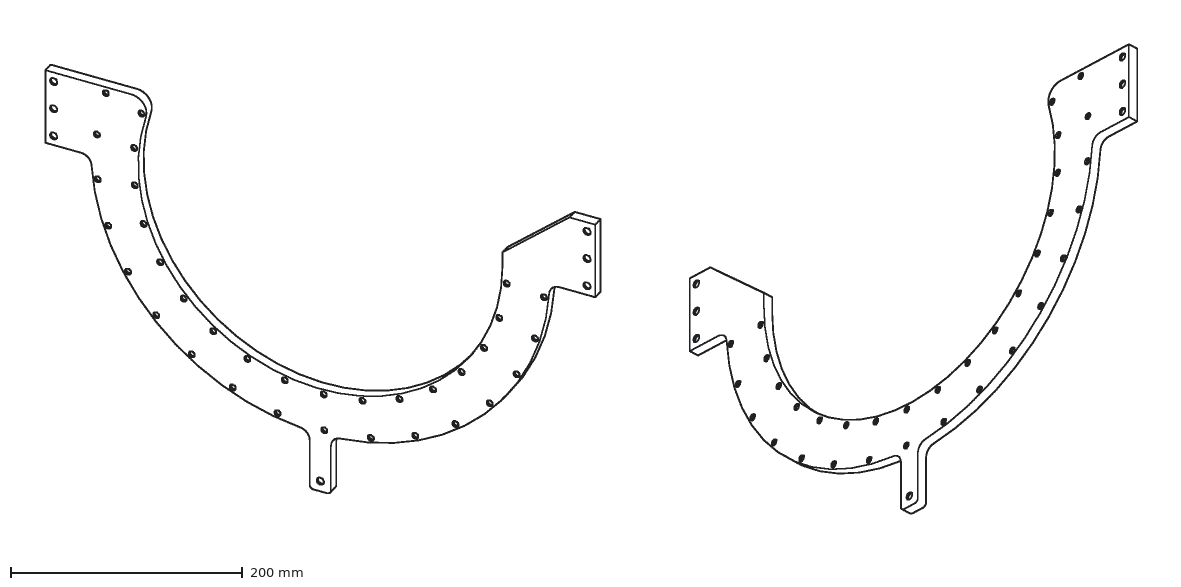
import cadquery as cq
import math

total_width = 535.0
total_height = 352.0
thickness = 10.0

inner_radius = 177.0
outer_radius = 223.0

left_edge = -total_width / 2
right_edge = total_width / 2
top_edge = 70.0
ear_height = 74.5
ear_bottom = top_edge - ear_height
ear_fillet = 10.0
left_ear_corner_radius = 15.0
slope_top_x = 242.5
slope_drop = 55.0

tab_bottom = top_edge - total_height
tab_width = 21.0
tab_root_fillet = 10.0
tab_corner_radius = 4.0

mounting_hole_diameter = 6.5
mounting_sink_diameter = 7.0
mounting_hole_x = 259.5
mounting_hole_pitch = 28.0
tab_hole_z = tab_bottom + tab_width / 2

row_radii = (182.0, 218.5)
row_hole_diameter = 4.5
row_sink_diameter = 6.0
row_first_angle = 163
row_pitch_angle = 12
row_hole_count = 17

sink_depth = 1.85


def xz_plane(y):
    """Work plane at the given Y, with local axes along X and Z and its normal along -Y."""
    return cq.Workplane("XZ", origin=(0, y, 0))


def round_corner(body, x, z, radius):
    """Round the edge along Y that lies nearest to (x, z)."""
    edge = body.edges("|Y").edges(cq.selectors.NearestToPointSelector((x, -thickness / 2, z)))
    return edge.fillet(radius)


def make_plate():
    """Half ring with its two ears and the tab, with all rounded corners but no holes."""
    ear_bottom_x = math.sqrt(outer_radius**2 - ear_bottom**2)
    tab_half = tab_width / 2
    tab_root_z = -math.sqrt(outer_radius**2 - tab_half**2)
    inner_top_x = math.sqrt(inner_radius**2 - top_edge**2)
    arc_middle = outer_radius * math.sqrt(0.5)

    plate = (
        xz_plane(0)
        .moveTo(left_edge, top_edge)
        .lineTo(left_edge, ear_bottom)
        .lineTo(-ear_bottom_x, ear_bottom)
        .threePointArc((-arc_middle, -arc_middle), (-tab_half, tab_root_z))
        .lineTo(-tab_half, tab_bottom)
        .lineTo(tab_half, tab_bottom)
        .lineTo(tab_half, tab_root_z)
        .threePointArc((arc_middle, -arc_middle), (ear_bottom_x, ear_bottom))
        .lineTo(right_edge, ear_bottom)
        .lineTo(right_edge, top_edge)
        .lineTo(slope_top_x, top_edge)
        .lineTo(inner_radius, top_edge - slope_drop)
        .lineTo(inner_radius, 0)
        .threePointArc((0, -inner_radius), (-inner_top_x, top_edge))
        .close()
        .extrude(thickness)
    )

    plate = round_corner(plate, -inner_top_x, top_edge, left_ear_corner_radius)
    for side in (-1, 1):
        plate = round_corner(plate, side * ear_bottom_x, ear_bottom, ear_fillet)
        plate = round_corner(plate, side * tab_half, tab_root_z, tab_root_fillet)
        plate = round_corner(plate, side * tab_half, tab_bottom, tab_corner_radius)
    return plate


def drill(body, points, hole_diameter, sink_diameter):
    """Through holes along Y with a wider mouth on both faces."""
    body = body.cut(xz_plane(0).pushPoints(points).circle(hole_diameter / 2).extrude(thickness))
    for start_y in (0, sink_depth - thickness):
        mouths = xz_plane(start_y).pushPoints(points).circle(sink_diameter / 2)
        body = body.cut(mouths.extrude(sink_depth))
    return body


ear_middle = top_edge - ear_height / 2
mounting_points = [
    (side * mounting_hole_x, ear_middle + step * mounting_hole_pitch)
    for side in (-1, 1)
    for step in (-1, 0, 1)
]
mounting_points.append((0, tab_hole_z))

row_angles = [math.radians(row_first_angle + row_pitch_angle * i) for i in range(row_hole_count)]
row_points = [(r * math.cos(a), r * math.sin(a)) for r in row_radii for a in row_angles]

result = make_plate()
result = drill(result, mounting_points, mounting_hole_diameter, mounting_sink_diameter)
result = drill(result, row_points, row_hole_diameter, row_sink_diameter)